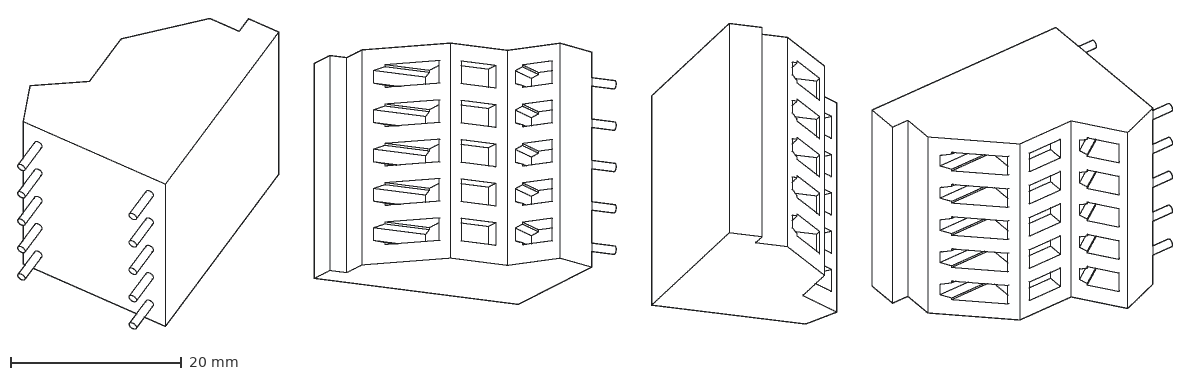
import cadquery as cq
import math

overall_length = 30.7
height = 26.03
body_length = 26.7
foot_reach = 19.2
lip_reach, lip_y = 21.2, 5.15
front_reach, front_start_y, front_end_y = 15.5, 9.18, 16.65
step_reach, step_y = 8.05, 24.5
tail_reach = 4.08

pole_count = 5
pin_diameter = 1.0
pin_length = overall_length - body_length
pin_pitch = 5.0
pin_row_spacing = 15.0
pin_row_inset = 2.12

pocket_pitch = 4.75
pocket_shift = 0.12
pocket_height = 2.73

window_start_y, window_end_y = 10.7, 15.23
window_depth = 1.95

groove_mouth_height = 2.25
groove_floor_height = 1.55
groove_depth = 0.95

upper_socket_reach = 14.52
upper_socket_width = 4.55
upper_socket_bottom_y = front_end_y

lower_socket_offset = 1.07
lower_socket_width = 3.93
lower_socket_depth = 4.0


def centred_positions(count, pitch, shift=0.0):
    """Z positions of evenly spaced items about mid-height."""
    return [shift + (i - (count - 1) / 2) * pitch for i in range(count)]


def make_housing():
    outline = [
        (0, 0),
        (-foot_reach, 0),
        (-lip_reach, lip_y),
        (-front_reach, front_start_y),
        (-front_reach, front_end_y),
        (-step_reach, step_y),
        (-tail_reach, step_y),
        (-tail_reach, body_length),
        (0, body_length),
    ]
    return cq.Workplane("XY").workplane(offset=-height / 2).polyline(outline).close().extrude(height)


def make_pins():
    points = [
        (-(pin_row_inset + row * pin_row_spacing), z)
        for row in range(2)
        for z in centred_positions(pole_count, pin_pitch)
    ]
    return cq.Workplane("XZ").pushPoints(points).circle(pin_diameter / 2).extrude(pin_length)


def make_window(z):
    width = window_end_y - window_start_y
    centre = (window_depth / 2 - front_reach, (window_start_y + window_end_y) / 2, z)
    return cq.Workplane("XY").box(window_depth, width, pocket_height).translate(centre)


def make_socket(bottom, across, outward, width, length):
    """Grooved hole rising from its bottom point along outward, with the groove on the across side."""
    half_profile = [
        (0, pocket_height / 2),
        (width, pocket_height / 2),
        (width, groove_mouth_height / 2),
        (width + groove_depth, groove_floor_height / 2),
    ]
    other_half = [(u, -v) for u, v in reversed(half_profile)]
    plane = cq.Plane(origin=bottom, xDir=across, normal=outward)
    return cq.Workplane(plane).polyline(half_profile + other_half).close().extrude(length)


def make_upper_socket(z):
    """Socket running parallel to the pins, open to the upper sloped face."""
    bottom = (-upper_socket_reach, upper_socket_bottom_y, z)
    length = step_y - upper_socket_bottom_y
    return make_socket(bottom, (1, 0, 0), (0, 1, 0), upper_socket_width, length)


def make_lower_socket(z):
    """Socket square to the lower sloped face."""
    slope = math.atan2(front_start_y - lip_y, lip_reach - front_reach)
    along_x, along_y = math.cos(slope), math.sin(slope)
    bottom = (
        -lip_reach + lower_socket_offset * along_x + lower_socket_depth * along_y,
        lip_y + lower_socket_offset * along_y - lower_socket_depth * along_x,
        z,
    )
    across = (along_x, along_y, 0)
    outward = (-along_y, along_x, 0)
    return make_socket(bottom, across, outward, lower_socket_width, lower_socket_depth)


result = make_housing().union(make_pins())
for pole_z in centred_positions(pole_count, pocket_pitch, pocket_shift):
    result = result.cut(make_window(pole_z))
    result = result.cut(make_upper_socket(pole_z))
    result = result.cut(make_lower_socket(pole_z))